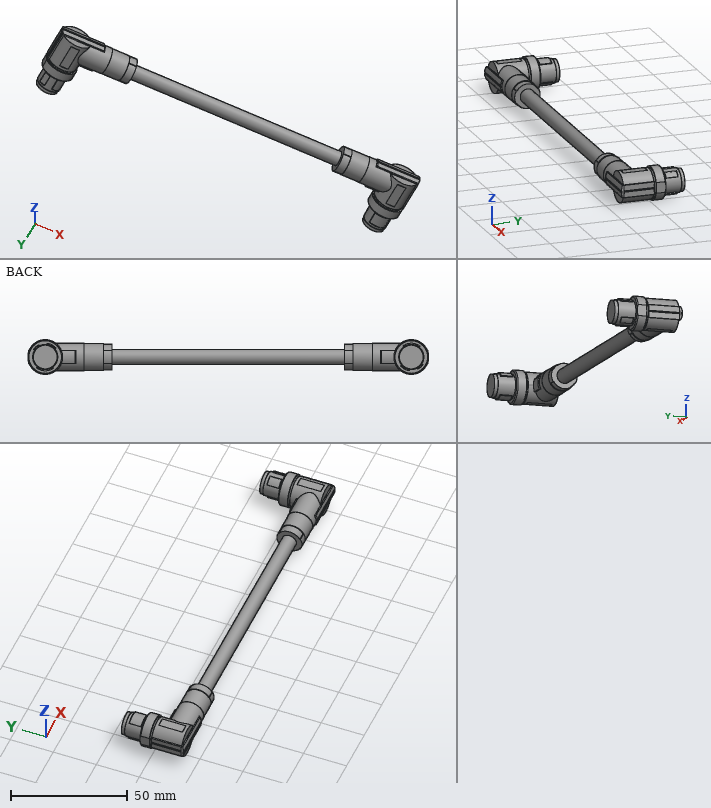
import cadquery as cq
import math

total_length = 172.5
plug_reach = 7.5
plug_x = total_length / 2 - plug_reach
cable_radius = 3.3

cap_y = -5.2
body_top_y = 8.8
nut_bottom_y = 9.6
nut_top_y = 14.1
shoulder_y = 21.9
tip_y = 23.5
pad_bottom_y = 14.9
pad_top_y = 20.4

body_radius = 7.0
neck_radius = 6.8
nut_radius = plug_reach
nut_flat_distance = 7.1
nut_chamfer = 0.5
barrel_radius = 5.42
tip_radius = 5.1

pad_radius = 5.95
pad_angles = ((54.0, 130.0), (213.0, 242.0), (278.0, 320.0))

label_width = 4.1
label_length = 11.0
label_center_y = 1.8
label_distance = math.sqrt(body_radius**2 - (label_width / 2) ** 2)

arm_radius = 6.0
arm_end = 16.7
sleeve_radius = 5.9
sleeve_end = 25.1
collar_end = 28.8
collar_radius = 5.6
collar_rib_radius = 5.85

ridge_width = 5.7
ridge_radius = 6.5
body_ridge_distance = nut_flat_distance
ridge_end = 13.2
ridge_end_chamfer = 0.45
groove_width = 0.5
groove_depth = 0.3


def y_cylinder(radius, start, end):
    """Cylinder on the plug axis between two Y levels."""
    plane = cq.Workplane("XZ", origin=(0, start, 0))
    return plane.circle(radius).extrude(start - end)


def x_cylinder(radius, start, end):
    """Cylinder on the cable axis between two X stations."""
    return cq.Workplane("YZ", origin=(start, 0, 0)).circle(radius).extrude(end - start)


def block(x_range, y_range, z_range):
    """Box given by its limits along each axis."""
    ranges = (x_range, y_range, z_range)
    sizes = [high - low for low, high in ranges]
    center = tuple((low + high) / 2 for low, high in ranges)
    return cq.Workplane("XY").box(*sizes).translate(center)


def centered(width):
    return (-width / 2, width / 2)


def make_body():
    """Round body with a flat label area above and below."""
    body = y_cylinder(body_radius, cap_y, body_top_y)
    label_y = (label_center_y - label_length / 2, label_center_y + label_length / 2)
    for side in (1, -1):
        z_range = sorted((side * label_distance, side * nut_radius))
        body = body.cut(block(centered(label_width), label_y, z_range))
    return body


def make_nut():
    """Locking ring with a flat on its outer side."""
    nut = y_cylinder(nut_radius, nut_bottom_y, nut_top_y).faces(">Y").chamfer(nut_chamfer)
    return nut.intersect(
        block((-nut_flat_distance, nut_radius), (nut_bottom_y, nut_top_y), centered(2 * nut_radius))
    )


def make_pad(start_angle, end_angle):
    """Raised pad on the barrel covering a range of angles."""
    middle_angle = (start_angle + end_angle) / 2
    angles = [math.radians(angle) for angle in (start_angle, middle_angle, end_angle)]
    points = [(pad_radius * math.cos(a), pad_radius * math.sin(a)) for a in angles]
    return (
        cq.Workplane("XZ", origin=(0, pad_bottom_y, 0))
        .lineTo(*points[0])
        .threePointArc(points[1], points[2])
        .close()
        .extrude(pad_bottom_y - pad_top_y)
    )


def make_plug():
    """Neck, locking ring, barrel, tip and pads."""
    plug = y_cylinder(neck_radius, body_top_y, nut_bottom_y).union(make_nut())
    plug = plug.union(y_cylinder(barrel_radius, nut_top_y, shoulder_y))
    plug = plug.union(y_cylinder(tip_radius, shoulder_y, tip_y))
    for start_angle, end_angle in pad_angles:
        plug = plug.union(make_pad(start_angle, end_angle))
    return plug


def make_arm():
    """Cable arm with a smaller end collar carrying ribs on its Y sides."""
    ribs = x_cylinder(collar_rib_radius, sleeve_end, collar_end).intersect(
        block((sleeve_end, collar_end), centered(2 * arm_radius), centered(ridge_width))
    )
    arm = x_cylinder(arm_radius, 0, arm_end)
    arm = arm.union(x_cylinder(sleeve_radius, arm_end, sleeve_end))
    return arm.union(x_cylinder(collar_radius, sleeve_end, collar_end)).union(ribs)


def make_ridges():
    """Grip ridge along the arm, rounded below the cap, and up the outer side of the body."""
    ridge_z = centered(ridge_width)
    core = x_cylinder(ridge_radius, -plug_reach, ridge_end).faces(">X").chamfer(ridge_end_chamfer)
    footprint = y_cylinder(plug_reach, -ridge_radius, cap_y).union(
        block((0, ridge_end), centered(2 * ridge_radius), ridge_z)
    )
    strip = block((-plug_reach, ridge_end), centered(2 * ridge_radius), ridge_z)
    along_arm = core.intersect(footprint).intersect(strip)
    along_body = block((-body_ridge_distance, 0), (cap_y, body_top_y), ridge_z)
    return along_arm.union(along_body)


def make_grooves():
    """Centre groove running along the ridge on the -Y and outer sides."""
    groove_z = centered(groove_width)
    arm_groove = block((-plug_reach, ridge_end), (-ridge_radius, -ridge_radius + groove_depth), groove_z)
    groove_floor = -body_ridge_distance + groove_depth
    body_groove = block((-plug_reach, groove_floor), (cap_y, body_top_y), groove_z)
    return arm_groove.union(body_groove)


def make_connector():
    """Connector with its plug axis at X = 0 and its arm along +X."""
    connector = make_body().union(make_arm()).union(make_ridges())
    return connector.cut(make_grooves()).union(make_plug())


connector = make_connector()
left_connector = connector.translate((-plug_x, 0, 0))
right_connector = left_connector.rotate((0, 0, 0), (0, 1, 0), 180)
cable = x_cylinder(cable_radius, collar_end - plug_x, plug_x - collar_end)

result = cable.union(left_connector).union(right_connector)